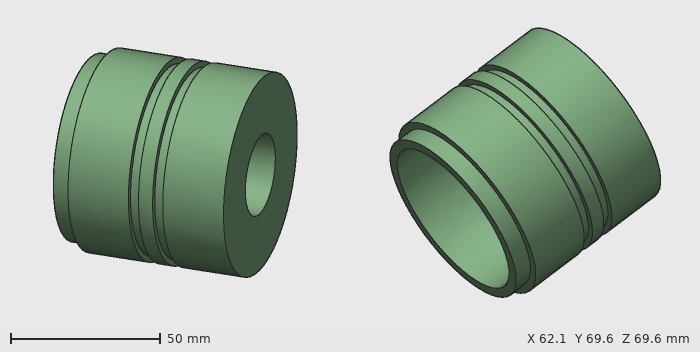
import cadquery as cq
import math

length = 62.1
outer_radius = 34.8
spigot_radius = 32.1
spigot_length = 6.35

groove_radius = 32.8
groove_width = 3.6
groove_starts = (28.0, 36.7)

bore_radius = 28.4
bore_depth = 10.1
outlet_radius = 14.15
floor_arc_radius = 33.1


def cylinder(radius, start, end):
    """Solid cylinder on the X axis between two X positions."""
    return cq.Workplane("YZ").workplane(offset=start).circle(radius).extrude(end - start)


def bore():
    """Turned cavity: straight bore, curved floor and outlet hole."""
    arc_angle = math.acos(1 - (bore_radius - outlet_radius) / floor_arc_radius)
    outlet_start = bore_depth + floor_arc_radius * math.sin(arc_angle)
    arc_middle_x = bore_depth + floor_arc_radius * math.sin(arc_angle / 2)
    arc_middle_radius = bore_radius - floor_arc_radius * (1 - math.cos(arc_angle / 2))
    return (
        cq.Workplane("XZ")
        .lineTo(0, bore_radius)
        .lineTo(bore_depth, bore_radius)
        .threePointArc((arc_middle_x, arc_middle_radius), (outlet_start, outlet_radius))
        .lineTo(length, outlet_radius)
        .lineTo(length, 0)
        .close()
        .revolve(360, (0, 0), (1, 0))
    )


def groove(start):
    """Ring removed from the outside to form one seal groove."""
    end = start + groove_width
    return cylinder(outer_radius, start, end).cut(cylinder(groove_radius, start, end))


body = cylinder(spigot_radius, 0, spigot_length)
body = body.union(cylinder(outer_radius, spigot_length, length))
for groove_start in groove_starts:
    body = body.cut(groove(groove_start))

result = body.cut(bore())